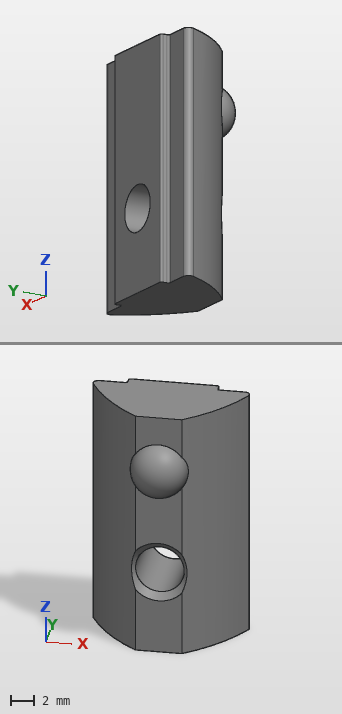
import cadquery as cq
import math

length = 22.0
width = 13.5
depth = 7.2
front_flat_width = 4.0
tongue_width = 7.8
tongue_height = 0.8
tongue_fillet = 0.2
wing_tip_radius = 0.5
flank_lean = 26.0

hole_diameter = 4.2
hole_height = 7.5
countersink_diameter = 5.4
countersink_depth = (countersink_diameter - hole_diameter) / 2

ball_diameter = 5.0
ball_protrusion = 2.1
ball_height = 17.0
ball_center = (0, ball_diameter / 2 - ball_protrusion, ball_height)


def make_ball():
    return cq.Workplane("XY").sphere(ball_diameter / 2).translate(ball_center)


def make_half_profile():
    """Right half of the nut profile, closed along the symmetry plane X = 0."""
    shoulder_y = depth - tongue_height
    tip_x = width / 2 - wing_tip_radius
    tip_y = shoulder_y - wing_tip_radius
    lean = math.radians(flank_lean)
    tip_end = (tip_x + wing_tip_radius * math.cos(lean), tip_y - wing_tip_radius * math.sin(lean))
    return (
        cq.Workplane("XY")
        .moveTo(0, depth)
        .lineTo(tongue_width / 2, depth)
        .lineTo(tongue_width / 2, shoulder_y)
        .lineTo(tip_x, shoulder_y)
        .threePointArc((width / 2, tip_y), tip_end)
        .tangentArcPoint((front_flat_width / 2, 0), relative=False)
        .lineTo(0, 0)
        .close()
    )


def make_nut_blank():
    half = make_half_profile().extrude(length)
    blank = half.union(half.mirror("YZ")).clean()
    tongue_region = cq.selectors.BoxSelector(
        (-tongue_width / 2 - tongue_fillet, depth - tongue_height - tongue_fillet, 0),
        (tongue_width / 2 + tongue_fillet, depth + tongue_fillet, length),
    )
    return blank.edges("|Z").edges(tongue_region).fillet(tongue_fillet)


def make_hole_cutter():
    """Through hole with its countersink opening on the front flat."""
    mouth_radius = countersink_diameter / 2
    hole_radius = hole_diameter / 2
    return (
        cq.Workplane("XY")
        .moveTo(0, 0)
        .lineTo(mouth_radius, 0)
        .lineTo(hole_radius, countersink_depth)
        .lineTo(hole_radius, depth)
        .lineTo(0, depth)
        .close()
        .revolve(360, (0, 0, 0), (0, 1, 0))
        .translate((0, 0, hole_height))
    )


ball = make_ball()
nut = make_nut_blank().cut(make_hole_cutter()).cut(ball)

result = cq.Compound.makeCompound([nut.solids().val(), ball.val()])